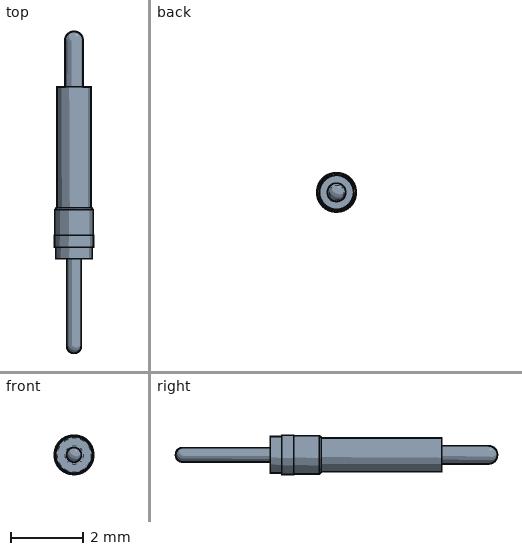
import cadquery as cq
import math


tail_diameter = 0.406
shoulder_diameter = 1.015
ring_diameter = 1.09
collar_diameter = 1.065
barrel_diameter = 0.94
plunger_diameter = 0.508

overall_length = 8.89
tail_length = 2.61
shoulder_length = 0.32
ring_length = 0.33
collar_length = 0.765
barrel_length = 3.33

collar_lead_in_length = 0.06
collar_lead_in_depth = 0.05

body_length = shoulder_length + ring_length + collar_length + barrel_length
plunger_length = overall_length - tail_length - body_length


def cylinder(diameter, start, length):
    """Cylinder on the Y axis running from Y = start toward +Y."""
    base = cq.Workplane("XZ", origin=(0, start, 0))
    return base.circle(diameter / 2).extrude(-length)


def domed_rod(diameter, root, tip):
    """Rod on the Y axis from the root to a hemispherical tip."""
    radius = diameter / 2
    direction = 1 if tip > root else -1
    dome_start = tip - direction * radius
    dome_side = radius * math.sin(math.radians(45))
    profile = (
        cq.Workplane("XY")
        .moveTo(0, root)
        .lineTo(radius, root)
        .lineTo(radius, dome_start)
        .threePointArc((dome_side, dome_start + direction * dome_side), (0, tip))
        .close()
    )
    return profile.revolve(360, (0, 0, 0), (0, 1, 0))


def collar(start):
    """Press-fit collar with a chamfered lead-in on its barrel side."""
    blank = cylinder(collar_diameter, start, collar_length)
    return blank.faces(">Y").chamfer(collar_lead_in_length, collar_lead_in_depth)


ring_start = shoulder_length
collar_start = ring_start + ring_length
barrel_start = collar_start + collar_length

shoulder = cylinder(shoulder_diameter, 0, shoulder_length)
ring = cylinder(ring_diameter, ring_start, ring_length)
barrel = cylinder(barrel_diameter, barrel_start, barrel_length)
tail = domed_rod(tail_diameter, 0, -tail_length)
plunger = domed_rod(plunger_diameter, body_length, body_length + plunger_length)

result = shoulder.union(ring).union(collar(collar_start)).union(barrel).union(tail).union(plunger)